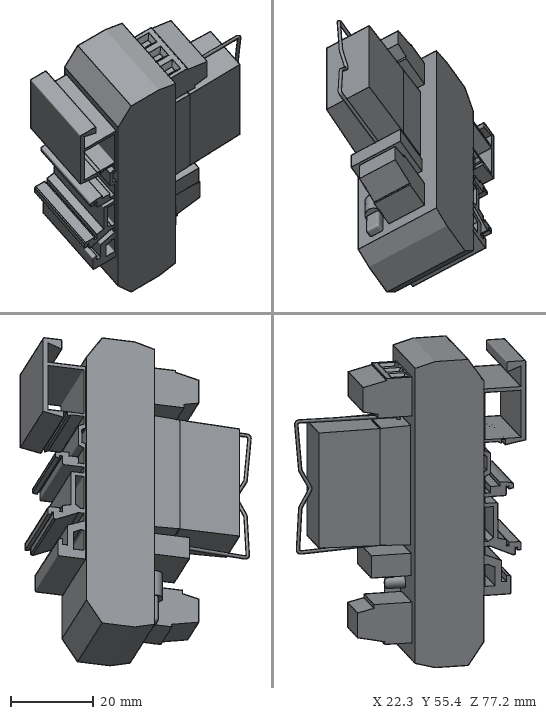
import cadquery as cq


housing_height = 77.2
housing_width = 22.3
housing_depth = 17.2
front_chamfer_depth = 3.9
front_chamfer_height = 5.7
back_chamfer_depth = 5.0
back_chamfer_height = 1.4

foot_width = 20.8
plate_thickness = 0.5
plate_top = 69.3
plate_bottom = 17.15
small_radius = 0.2
corner_radius = 0.4

channel_reach = 10.7
channel_wall = 1.2
channel_roof = 0.9
channel_floor_top = 56.45
channel_floor_bottom = 55.75
channel_top = 75.75
hook_lip_start = 6.0
hook_lip_bottom = 73.2
hook_root_bottom = 74.45
foot_lip_start = 5.55
foot_lip_bottom = 54.8
floor_groove_start = 4.6
floor_groove_top = 56.2
floor_rib_start = 3.6
floor_rib_bottom = 55.3

bridge_top = 53.7
bridge_bottom = 47.2
bridge_reach = 1.85
bridge_slope = 0.7
bridge_window_reach = 0.9
bridge_window_top = 52.5
bridge_window_bottom = 48.35
bridge_window_slope = 0.4

latch_bottom = 42.0
latch_web_top = 42.9
latch_step_start = 1.85
latch_step_top = 44.55
latch_head_start = 4.2
latch_head_top = 45.5
latch_body_reach = 5.8
latch_nose_reach = 7.65
latch_nose_top = 45.0
latch_nose_bottom = 43.85
latch_tip_bottom = 43.6
latch_tip_start = 6.5
latch_notch_top = 44.3

box_top = 40.4
box_wall = 0.9
box_reach = 3.7
box_inner_reach = 2.55
box_inner_corner_z = 31.65
box_inner_floor = 30.7
box_front_bottom = 31.4
jaw_step_reach = 5.8
jaw_step_top = 30.9
jaw_groove_end = 6.5
jaw_groove_bottom = 29.3
jaw_top = 30.2
jaw_reach = 9.5
jaw_chamfer = 0.3
jaw_bottom = 28.1
jaw_notch_end = 8.6
jaw_notch_start = 8.1
jaw_notch_top = 28.8
jaw_heel_z = 27.2
jaw_heel_reach = 7.65
jaw_heel_bottom = 26.9
jaw_root_reach = 1.8
jaw_root_bottom = 29.5

toe_root_top = 27.4
toe_reach = 4.6
toe_shoulder_top = 25.7
toe_groove_bottom = 20.4
toe_lip_start = 5.8
toe_lip_top = 21.9
toe_lip_reach = 6.95
toe_lip_front_top = 21.7
toe_window_top = 24.95
toe_window_flat = 1.3
toe_window_reach = 3.0
toe_window_corner_z = 24.1
toe_window_bottom = 19.45

pole_pitch = 4.95
terminal_left = -7.8
upper_poles = 3
upper_terminal_width = 15.1
lower_terminal_width = upper_terminal_width - pole_pitch

upper_terminal_top = 72.75
upper_terminal_top_step = 72.3
upper_terminal_top_shoulder_y = 23.55
upper_terminal_end_y = 29.4
upper_terminal_end_top = 70.9
upper_terminal_end_bottom = 64.7
upper_terminal_bottom_shoulder_y = 25.7
upper_terminal_bottom_step = 63.85
upper_terminal_bottom = 62.9

lower_terminal_top = 16.0
lower_terminal_top_step = 15.05
lower_terminal_top_shoulder_y = 26.7
lower_terminal_end_y = 30.8
lower_terminal_end_top = 14.1
lower_terminal_end_bottom = 7.9
lower_terminal_bottom_shoulder_y = 24.0
lower_terminal_bottom_step = 6.4
lower_terminal_bottom = 5.7

port_width = 3.4
port_length = 4.4
port_floor_width = 1.3
port_floor_length = 2.55
port_depth = 1.2
port_y = 19.9

relay_end_y = 40.1
seam_y = 24.9
relay_end_width = 12.2
relay_end_height = 29.0
relay_seam_width = 13.0
relay_seam_height = 29.5
socket_base_width = 13.3
socket_base_height = 30.1
socket_edge_chamfer = 0.2
relay_z = 45.2

clip_radius = 0.425
clip_bend_radius = 0.8
clip_tail_y = 18.6
clip_top_z = 61.0
clip_bottom_z = 29.3
clip_tail_sink = 0.8
clip_outer_y = 44.3
clip_outer_top_z = 61.2
clip_lower_outer_y = 43.85
clip_lower_outer_z = 28.1
clip_shoulder_y = 43.25
clip_shoulder_rise = 4.7
clip_tip_y = 40.6
clip_tip_z = 44.1

block_width = 14.05
block_end_y = 27.2
block_top = 28.1
block_bottom = 22.5

lamp_radius = 1.5
lamp_taper = 2.0
lamp_end_y = 22.0
lamp_z = 19.0
lamp_edge_radius = 0.6

button_x = 5.95
button_seam_y = 18.5
button_collar_radius = 2.1
button_collar_top = 17.5
button_collar_bottom = 11.0
button_key_width = 3.7
button_key_end_y = 19.2
button_key_bottom = 4.1
button_key_edge_radius = 0.7


def prism(outline, width):
    """Extrude a (y, z) outline by width, centred on X = 0."""
    return cq.Workplane("YZ").polyline(outline).close().extrude(width / 2, both=True)


def foot_prism(outline):
    """Extrude a (forward, z) outline across the foot; forward points to -Y."""
    return prism([(-forward, z) for forward, z in outline], foot_width)


def foot_bar(start, end, bottom, top):
    """Rectangular bar across the foot, between two forward distances."""
    return foot_prism([(start, bottom), (end, bottom), (end, top), (start, top)])


def round_edge(body, forward, z, radius):
    """Fillet the one edge of the foot that runs along X at (forward, z)."""
    edge = body.edges("|X").edges(cq.selectors.NearestToPointSelector((0, -forward, z)))
    return edge.fillet(radius)


def tapered_block(start_y, start_size, end_y, end_size, center_z):
    """Block between two centred rectangles, each given as (width, height)."""
    return (
        cq.Workplane("XZ", origin=(0, start_y, center_z))
        .rect(*start_size)
        .workplane(offset=start_y - end_y)
        .rect(*end_size)
        .loft(ruled=True)
    )


def make_channel():
    """Square channel at the top of the foot, with its hook and its lower lip."""
    inner_front = channel_reach - channel_wall
    body = foot_prism([
        (0, plate_top),
        (inner_front, plate_top),
        (inner_front, hook_root_bottom),
        (hook_lip_start, hook_lip_bottom),
        (hook_lip_start, channel_top),
        (channel_reach, channel_top),
        (channel_reach, channel_floor_bottom),
        (foot_lip_start, foot_lip_bottom),
        (foot_lip_start, floor_groove_top),
        (floor_groove_start, floor_groove_top),
        (floor_groove_start, floor_rib_bottom),
        (floor_rib_start, channel_floor_bottom),
        (0, channel_floor_bottom),
    ])
    body = round_edge(body, channel_reach, channel_top, corner_radius)
    body = round_edge(body, hook_lip_start, channel_top, corner_radius)
    opening = foot_bar(plate_thickness, inner_front, channel_floor_top, plate_top - channel_roof)
    opening = opening.edges("|X and >Y").fillet(small_radius)
    return body.cut(opening)


def make_bridge():
    """Low trapezoidal bridge below the channel."""
    bridge_front_top = bridge_top - bridge_slope
    bridge_front_bottom = bridge_bottom + bridge_slope
    body = foot_prism([
        (plate_thickness, bridge_top),
        (bridge_reach, bridge_front_top),
        (bridge_reach, bridge_front_bottom),
        (plate_thickness, bridge_bottom),
    ])
    return round_edge(body, bridge_reach, bridge_front_bottom, corner_radius)


def make_bridge_window():
    """Opening under the bridge, reaching through to the housing face."""
    return foot_prism([
        (0, bridge_window_top),
        (plate_thickness, bridge_window_top),
        (bridge_window_reach, bridge_window_top - bridge_window_slope),
        (bridge_window_reach, bridge_window_bottom + bridge_window_slope),
        (0, bridge_window_bottom),
    ])


def make_latch():
    """Stepped rib with a hooked nose."""
    body = foot_prism([
        (0, latch_bottom),
        (0, latch_web_top),
        (latch_step_start, latch_web_top),
        (latch_step_start, latch_step_top),
        (latch_head_start, latch_step_top),
        (latch_head_start, latch_head_top),
        (latch_body_reach, latch_head_top),
        (latch_nose_reach, latch_nose_top),
        (latch_nose_reach, latch_nose_bottom),
        (latch_tip_start, latch_tip_bottom),
        (latch_tip_start, latch_notch_top),
        (latch_body_reach, latch_notch_top),
        (latch_body_reach, latch_bottom),
    ])
    body = round_edge(body, latch_nose_reach, latch_nose_top, corner_radius)
    return round_edge(body, latch_body_reach, latch_bottom, corner_radius)


def make_jaw():
    """Hollow box whose lower side runs forward into a grooved jaw."""
    body = foot_prism([
        (0, box_top),
        (box_reach, box_top),
        (box_reach, box_front_bottom),
        (jaw_step_reach, jaw_step_top),
        (jaw_step_reach, jaw_groove_bottom),
        (jaw_groove_end, jaw_groove_bottom),
        (jaw_groove_end, jaw_top),
        (jaw_reach - jaw_chamfer, jaw_top),
        (jaw_reach, jaw_top - jaw_chamfer),
        (jaw_reach, jaw_bottom),
        (jaw_notch_end, jaw_bottom),
        (jaw_notch_end, jaw_notch_top),
        (jaw_notch_start, jaw_notch_top),
        (jaw_notch_start, jaw_heel_z),
        (jaw_heel_reach, jaw_heel_bottom),
        (jaw_root_reach, jaw_root_bottom),
        (0, jaw_root_bottom),
    ])
    body = round_edge(body, box_reach, box_top, corner_radius)
    window = foot_prism([
        (plate_thickness, box_top - box_wall),
        (box_inner_reach, box_top - box_wall),
        (box_inner_reach, box_inner_corner_z),
        (box_inner_reach / 2, box_inner_floor),
        (plate_thickness, box_inner_floor),
    ])
    return body.cut(window.edges("|X and >Y").fillet(small_radius))


def make_toe():
    """Hollow lower end of the foot, with an upturned lip."""
    body = foot_prism([
        (0, toe_root_top),
        (plate_thickness, toe_root_top),
        (toe_reach, toe_shoulder_top),
        (toe_reach, toe_groove_bottom),
        (toe_lip_start, toe_groove_bottom),
        (toe_lip_start, toe_lip_top),
        (toe_lip_reach, toe_lip_front_top),
        (toe_lip_reach, plate_bottom),
        (0, plate_bottom),
    ])
    body = round_edge(body, toe_reach, toe_shoulder_top, corner_radius)
    body = round_edge(body, toe_lip_reach, toe_lip_front_top, small_radius)
    body = round_edge(body, toe_lip_reach, plate_bottom, corner_radius)
    window = foot_prism([
        (plate_thickness, toe_window_top),
        (toe_window_flat, toe_window_top),
        (toe_window_reach, toe_window_corner_z),
        (toe_window_reach, toe_window_bottom),
        (plate_thickness, toe_window_bottom),
    ])
    return body.cut(window.edges("|X and >Y").fillet(small_radius))


def make_foot():
    foot = foot_bar(0, plate_thickness, plate_bottom, plate_top)
    for feature in (make_channel(), make_bridge(), make_latch(), make_jaw(), make_toe()):
        foot = foot.union(feature)
    foot = round_edge(foot, plate_thickness, box_top, corner_radius)
    return foot.cut(make_bridge_window())


def make_housing_block():
    """Main block, chamfered along its four horizontal edges."""
    front_flat = front_chamfer_depth
    back_flat = housing_depth - back_chamfer_depth
    return prism([
        (0, front_chamfer_height),
        (front_flat, 0),
        (back_flat, 0),
        (housing_depth, back_chamfer_height),
        (housing_depth, housing_height - back_chamfer_height),
        (back_flat, housing_height),
        (front_flat, housing_height),
        (0, housing_height - front_chamfer_height),
    ], housing_width)


def terminal_block(width, end_y, end_top, end_bottom, upper_shoulder, lower_shoulder):
    """Terminal with a narrowed end; each shoulder is (face z, step z, shoulder y)."""
    top, upper_step, upper_shoulder_y = upper_shoulder
    bottom, lower_step, lower_shoulder_y = lower_shoulder
    body = prism([
        (housing_depth, top),
        (upper_shoulder_y, top),
        (upper_shoulder_y, upper_step),
        (end_y, end_top),
        (end_y, end_bottom),
        (lower_shoulder_y, lower_step),
        (lower_shoulder_y, bottom),
        (housing_depth, bottom),
    ], width)
    return body.translate((terminal_left + width / 2, 0, 0))


def make_wire_port(center_x):
    """Rectangular funnel in the top of the upper terminal."""
    return (
        cq.Workplane("XY", origin=(center_x, port_y, upper_terminal_top))
        .rect(port_width, port_length)
        .workplane(offset=-port_depth)
        .rect(port_floor_width, port_floor_length)
        .loft(ruled=True)
    )


def make_upper_terminal():
    terminal = terminal_block(
        upper_terminal_width,
        upper_terminal_end_y,
        upper_terminal_end_top,
        upper_terminal_end_bottom,
        (upper_terminal_top, upper_terminal_top_step, upper_terminal_top_shoulder_y),
        (upper_terminal_bottom, upper_terminal_bottom_step, upper_terminal_bottom_shoulder_y),
    )
    center_x = terminal_left + upper_terminal_width / 2
    for pole in range(upper_poles):
        offset = (pole - (upper_poles - 1) / 2) * pole_pitch
        terminal = terminal.cut(make_wire_port(center_x + offset))
    return terminal


def make_lower_terminal():
    return terminal_block(
        lower_terminal_width,
        lower_terminal_end_y,
        lower_terminal_end_top,
        lower_terminal_end_bottom,
        (lower_terminal_top, lower_terminal_top_step, lower_terminal_top_shoulder_y),
        (lower_terminal_bottom, lower_terminal_bottom_step, lower_terminal_bottom_shoulder_y),
    )


def make_socket():
    """Relay socket, with its upper and lower rims chamfered where the relay seats."""
    socket = tapered_block(
        housing_depth, (socket_base_width, socket_base_height),
        seam_y, (relay_seam_width, relay_seam_height), relay_z,
    )
    return socket.faces(">Y").edges("|X").chamfer(socket_edge_chamfer)


def make_clip():
    """Bent wire clip from the socket, around the relay, pressing on the relay's end."""
    corners = cq.Workplane("YZ").polyline([
        (clip_tail_y, clip_top_z - clip_radius - clip_tail_sink),
        (clip_tail_y, clip_top_z),
        (clip_outer_y, clip_outer_top_z),
        (clip_shoulder_y, clip_tip_z + clip_shoulder_rise),
        (clip_tip_y, clip_tip_z),
        (clip_shoulder_y, clip_tip_z - clip_shoulder_rise),
        (clip_lower_outer_y, clip_lower_outer_z),
        (clip_tail_y, clip_bottom_z),
        (clip_tail_y, clip_bottom_z + clip_radius + clip_tail_sink),
    ]).wire().val()
    ends = (corners.startPoint(), corners.endPoint())
    bends = [
        corner for corner in corners.Vertices()
        if min((corner.Center() - end).Length for end in ends) > clip_radius
    ]
    path = corners.fillet2D(clip_bend_radius, bends)
    start_z = clip_top_z - clip_radius - clip_tail_sink
    section = cq.Workplane("XY", origin=(0, clip_tail_y, start_z)).circle(clip_radius)
    return section.sweep(cq.Workplane(path))


def make_block():
    """Plain rectangular block below the relay."""
    return prism([
        (housing_depth, block_bottom),
        (block_end_y, block_bottom),
        (block_end_y, block_top),
        (housing_depth, block_top),
    ], block_width)


def make_lamp():
    """Slightly tapered round lamp with a rounded end."""
    lamp = cq.Workplane("XZ", origin=(0, housing_depth, lamp_z)).circle(lamp_radius)
    lamp = lamp.extrude(housing_depth - lamp_end_y, taper=lamp_taper)
    return lamp.faces(">Y").edges().fillet(lamp_edge_radius)


def make_button():
    """Collar with an arched back and, below it, a key with rounded edges."""
    collar = (
        cq.Workplane("XY", origin=(button_x, 0, button_collar_bottom))
        .moveTo(-button_collar_radius, housing_depth)
        .lineTo(-button_collar_radius, button_seam_y)
        .threePointArc((0, button_seam_y + button_collar_radius), (button_collar_radius, button_seam_y))
        .lineTo(button_collar_radius, housing_depth)
        .close()
        .extrude(button_collar_top - button_collar_bottom)
    )
    key = prism([
        (housing_depth, button_key_bottom),
        (button_key_end_y, button_key_bottom),
        (button_key_end_y, button_collar_bottom),
        (housing_depth, button_collar_bottom),
    ], button_key_width).translate((button_x, 0, 0))
    key = key.edges("(|Z and >Y) or (<Z and (not <Y))").fillet(button_key_edge_radius)
    return collar.union(key)


def make_housing():
    housing = make_housing_block()
    fittings = (
        make_upper_terminal(), make_lower_terminal(), make_socket(), make_clip(),
        make_block(), make_lamp(), make_button(),
    )
    for fitting in fittings:
        housing = housing.union(fitting)
    return housing


def make_relay(clip):
    """Relay seated on the socket, with a small dent where the clip presses."""
    relay = tapered_block(
        seam_y, (relay_seam_width, relay_seam_height),
        relay_end_y, (relay_end_width, relay_end_height), relay_z,
    )
    return relay.cut(clip)


foot = make_foot()
housing = make_housing()
relay = make_relay(make_clip())

bodies = [foot, housing, relay]
result = cq.Compound.makeCompound([body.solids().val() for body in bodies])